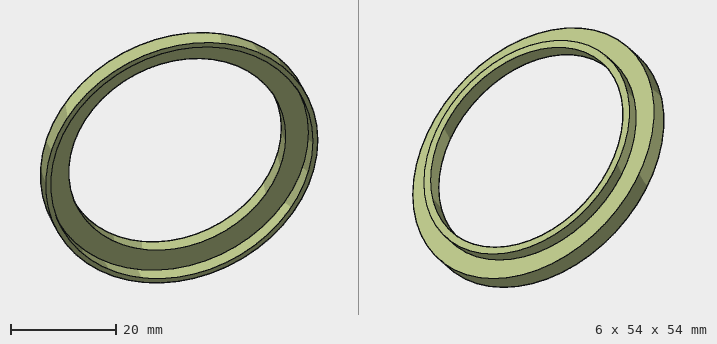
import cadquery as cq

flange_diameter = 54.0
collar_diameter = 46.0
bore_diameter = 43.0
total_width = 6.0
collar_width = 2.4
flange_width = total_width - collar_width

rim_thickness = 1.0
recess_diameter = flange_diameter - 2 * rim_thickness
bore_length = 3.0
recess_depth = total_width - bore_length


def disc(diameter, width, start_x):
    """Solid disc on the X axis, from start_x towards +X."""
    return cq.Workplane("YZ", origin=(start_x, 0, 0)).circle(diameter / 2).extrude(width)


collar = disc(collar_diameter, collar_width, 0)
flange = disc(flange_diameter, flange_width, collar_width)

bore = disc(bore_diameter, total_width, 0)
recess = disc(recess_diameter, recess_depth, bore_length)

result = collar.union(flange).cut(bore).cut(recess)